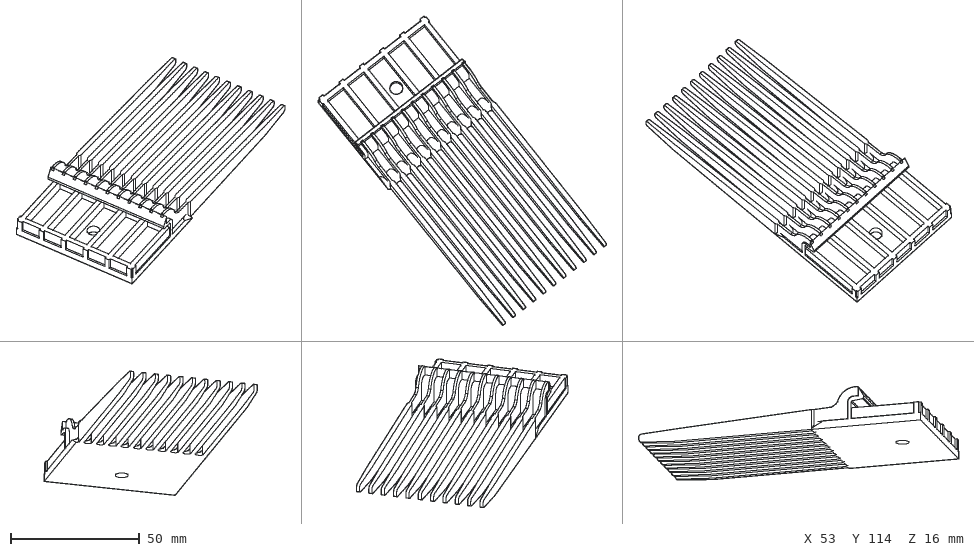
import cadquery as cq
import math


width = 53.0
base_height = 3.1
base_rear = 46.0

handle_top = 7.5
handle_rib_count = 6
handle_rib_pitch = 10.0
handle_rib_width = 2.0
cross_wall_front = 0.8
cross_wall_thickness = 2.0
hole_diameter = 5.0
hole_y = 14.9

bar_front = 28.1
bar_thickness = 1.4
bar_back = bar_front + bar_thickness
bar_inner_chamfer = 0.4
bar_outer_radius = 2.3
lip_under_inner = 10.2
lip_under_outer = 10.7
lip_top = 12.1
nose_front = 23.1
nose_chamfer = 0.3
nose_back = 25.25
nose_top = 15.7

tooth_count = 11
tooth_pitch = 5.0
tooth_width = 2.0
first_tooth_x = tooth_width / 2
tooth_tip_width = 1.3
tooth_length_end = 114.0
tip_taper_start = 99.0
tip_bottom = 1.0
tip_top = 4.2
tip_radius = 1.3
tooth_top_slope = 0.056
neck_width = 1.0
neck_end = 43.2
shoulder_end = 44.1

hump_top = 16.0
hump_center_y = 26.5
hump_radius = 7.5
hump_front_top = 25.5
hump_front_bottom = 24.75
hump_front_height = 14.9
hump_end_angle = math.radians(15)
hump_foot_y = 36.2
hump_foot_sag = 0.15

channel_start = 38.5
channel_end = 44.1
channel_radius = 1.5
channel_depth = 8.0


def box(x0, x1, y0, y1, z0, z1):
    return cq.Workplane("XY").box(x1 - x0, y1 - y0, z1 - z0, centered=False).translate((x0, y0, z0))


def tooth_top(y):
    """Height of the straight top edge of a tooth at a given Y."""
    return tip_top + tooth_top_slope * (tooth_length_end - y)


def base_plate():
    plate = box(0, width, 0, base_rear, 0, base_height)
    for index in range(-1, tooth_count):
        gap_center = first_tooth_x + (index + 0.5) * tooth_pitch
        plate = plate.cut(channel(gap_center))
    return plate


def channel(center_x):
    """Sloping round-cornered channel that runs the plate out to a thin rear edge."""
    run = channel_end - channel_start
    slope_length = math.hypot(run, base_height)
    slope_angle = math.degrees(math.atan2(base_height, run))
    overrun = slope_length
    cutter = (
        cq.Workplane("XY")
        .box(tooth_pitch - neck_width, slope_length + 2 * overrun, channel_depth, centered=(True, True, False))
        .edges("<Z and |Y")
        .fillet(channel_radius)
    )
    middle_y = (channel_start + channel_end) / 2
    return cutter.rotate((0, 0, 0), (1, 0, 0), -slope_angle).translate((center_x, middle_y, base_height / 2))


def handle_frame():
    wall_back = cross_wall_front + cross_wall_thickness
    frame = box(0, width, cross_wall_front, wall_back, 0, handle_top)
    first_rib_x = (width - (handle_rib_count - 1) * handle_rib_pitch) / 2
    for index in range(handle_rib_count):
        left = first_rib_x + index * handle_rib_pitch - handle_rib_width / 2
        frame = frame.union(box(left, left + handle_rib_width, 0, bar_back, 0, handle_top))
    return frame


def hook_bar():
    """Upright wall with a forward lip that ends in a raised wedge nose."""
    corner = bar_outer_radius * (1 - math.sqrt(0.5))
    profile = (
        cq.Workplane("YZ")
        .moveTo(bar_front, 0)
        .lineTo(bar_front, lip_under_inner - bar_inner_chamfer)
        .lineTo(bar_front - bar_inner_chamfer, lip_under_inner)
        .lineTo(nose_front + nose_chamfer, lip_under_outer)
        .lineTo(nose_front, lip_under_outer + nose_chamfer)
        .lineTo(nose_front, lip_top)
        .lineTo(nose_back, nose_top)
        .lineTo(nose_back, lip_top)
        .lineTo(bar_back - bar_outer_radius, lip_top)
        .threePointArc((bar_back - corner, lip_top - corner), (bar_back, lip_top - bar_outer_radius))
        .lineTo(bar_back, 0)
        .close()
    )
    return profile.extrude(width)


def tooth_side_profile():
    """Side outline of a tooth, its thin rib and the hump that backs the hook."""
    hump_center_z = hump_top - hump_radius

    def on_hump(angle):
        return (
            hump_center_y + hump_radius * math.cos(angle),
            hump_center_z + hump_radius * math.sin(angle),
        )

    hump_end = on_hump(hump_end_angle)
    foot = (hump_foot_y, tooth_top(hump_foot_y))
    foot_middle = tuple((a + b) / 2 - hump_foot_sag for a, b in zip(hump_end, foot))
    bar_middle = (bar_front + bar_back) / 2
    lip_middle = (lip_under_outer + lip_top) / 2
    return (
        cq.Workplane("YZ")
        .moveTo(bar_middle, 0)
        .lineTo(bar_middle, lip_middle)
        .lineTo(hump_front_bottom, lip_middle)
        .lineTo(hump_front_bottom, hump_front_height)
        .lineTo(hump_front_top, hump_top)
        .lineTo(hump_center_y, hump_top)
        .threePointArc(on_hump((math.pi / 2 + hump_end_angle) / 2), hump_end)
        .threePointArc(foot_middle, foot)
        .lineTo(tooth_length_end, tip_top)
        .lineTo(tooth_length_end, tip_bottom)
        .lineTo(tip_taper_start, 0)
        .close()
    )


def tooth():
    """One tooth centred on X = 0."""
    blade = tooth_side_profile().extrude(tooth_width / 2, both=True)
    blade = blade.edges("|X and >Y").fillet(tip_radius)
    right_side = [
        (neck_width / 2, 0),
        (neck_width / 2, neck_end),
        (tooth_width / 2, shoulder_end),
        (tooth_width / 2, tip_taper_start),
        (tooth_tip_width / 2, tooth_length_end),
    ]
    left_side = [(-x, y) for x, y in reversed(right_side)]
    plan = cq.Workplane("XY").polyline(right_side + left_side).close().extrude(hump_top)
    return blade.intersect(plan)


def teeth():
    single = tooth()
    row = single.translate((first_tooth_x, 0, 0))
    for index in range(1, tooth_count):
        row = row.union(single.translate((first_tooth_x + index * tooth_pitch, 0, 0)))
    return row


def mounting_hole():
    hole_x = first_tooth_x + (tooth_count - 1) * tooth_pitch / 2
    return cq.Workplane("XY").center(hole_x, hole_y).circle(hole_diameter / 2).extrude(base_height)


body = base_plate().union(handle_frame()).union(hook_bar()).union(teeth())
result = body.cut(mounting_hole())